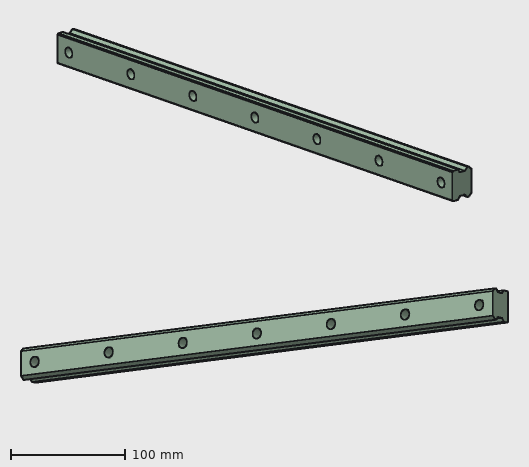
import cadquery as cq

length = 510.0
depth = 23.0
height = 28.0

mount_face_y = -depth / 2
head_face_y = depth / 2
half_height = height / 2
base_chamfer = 1.0
base_thickness = 6.5
base_flank_run = 2.5
groove_depth = 3.0
head_flank_run = 3.0
head_land = 1.5
head_chamfer_run = 3.5
head_chamfer_drop = 3.0

hole_diameter = 9.0
hole_count = 7
hole_pitch = 80.0
hole_end_distance = (length - (hole_count - 1) * hole_pitch) / 2


def upper_profile():
    """(y, z) corners of the upper half, from mounting face to head face."""
    groove_z = half_height - groove_depth
    base_edge_y = mount_face_y + base_thickness
    land_start_y = head_face_y - head_chamfer_run - head_land
    return [
        (mount_face_y, half_height - base_chamfer),
        (mount_face_y + base_chamfer, half_height),
        (base_edge_y, half_height),
        (base_edge_y + base_flank_run, groove_z),
        (land_start_y - head_flank_run, groove_z),
        (land_start_y, half_height),
        (land_start_y + head_land, half_height),
        (head_face_y, half_height - head_chamfer_drop),
    ]


def make_rail():
    """Symmetric grooved section extruded along X, centred on the origin."""
    upper = upper_profile()
    lower = [(y, -z) for y, z in reversed(upper)]
    return cq.Workplane("YZ").polyline(upper + lower).close().extrude(length / 2, both=True)


def make_holes():
    """Row of plain holes passing through the rail along Y."""
    first_hole_x = -length / 2 + hole_end_distance
    centers = [(first_hole_x + i * hole_pitch, 0) for i in range(hole_count)]
    return (
        cq.Workplane("XZ")
        .pushPoints(centers)
        .circle(hole_diameter / 2)
        .extrude(depth, both=True)
    )


result = make_rail().cut(make_holes())